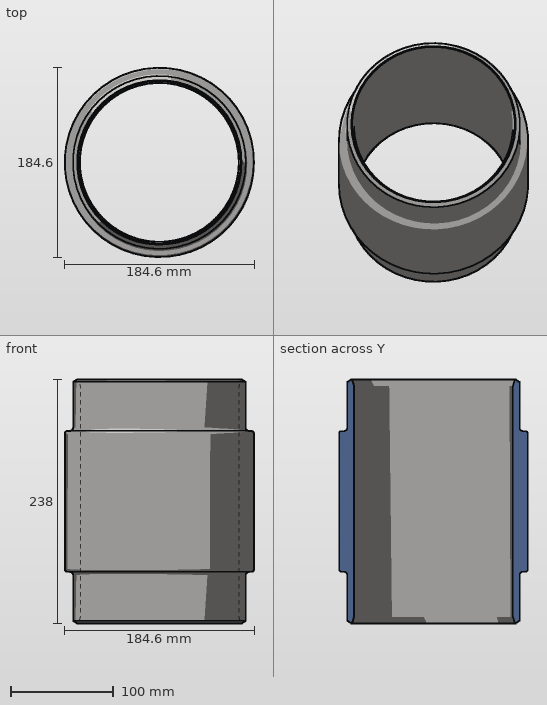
import cadquery as cq

total_length = 238.0
body_radius = 92.3
neck_radius = 84.3
bore_radius = 77.4
neck_length = 50.2

shoulder_round = 2.9
neck_fillet = 3.0

outer_bevel_depth = 2.5
outer_bevel_width = 4.0
inner_bevel_depth = 6.5
inner_bevel_width = 2.0

half_length = total_length / 2
shoulder_height = half_length - neck_length


def sharp_sleeve():
    """Stepped tube with bevelled ends and square shoulders, revolved about Z."""
    upper_corners = [
        (body_radius, shoulder_height),
        (neck_radius, shoulder_height),
        (neck_radius, half_length - outer_bevel_depth),
        (neck_radius - outer_bevel_width, half_length),
        (bore_radius + inner_bevel_width, half_length),
        (bore_radius, half_length - inner_bevel_depth),
    ]
    lower_corners = [(radius, -height) for radius, height in reversed(upper_corners)]
    section = cq.Workplane("XZ").polyline(upper_corners + lower_corners).close()
    return section.revolve(360, (0, 0, 0), (0, 1, 0))


def round_shoulders(sleeve):
    """Fillet both neck roots, then round both outer edges of the body."""
    reach = shoulder_height + neck_length / 2
    shoulder_zone = cq.selectors.BoxSelector(
        (-neck_radius, -neck_radius, -reach), (neck_radius, neck_radius, reach)
    )
    smallest = cq.selectors.RadiusNthSelector(0)
    largest = cq.selectors.RadiusNthSelector(-1)
    sleeve = sleeve.edges("%CIRCLE").edges(shoulder_zone).edges(smallest).fillet(neck_fillet)
    return sleeve.edges("%CIRCLE").edges(largest).fillet(shoulder_round)


result = round_shoulders(sharp_sleeve())